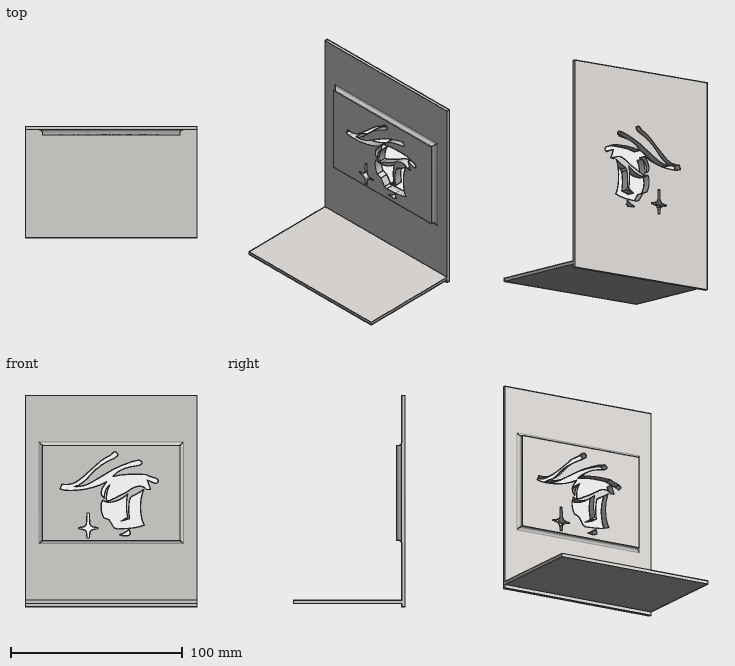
import cadquery as cq


width = 100.0
height = 123.3
depth = 65.0
sheet = 2.0
foot_bottom = sheet

panel_width = 80.0
panel_height = 55.2
panel_raise = 3.0
cove_radius = 2.0
panel_center_z = 66.5
cut_depth = sheet + panel_raise

star_x = -13.5
star_z = -20.6
star_up = 8.8
star_down = 5.7
star_side = 5.5
star_upright_tip_half = 0.6
star_half_width = 0.9
star_shoulder = 2.8
star_inner_corner = (1.7, 1.4)
star_side_root = (3.2, 0.6)
star_side_tip_half = 0.2

lash_start = (-29.7, 2.3)
lash_edges = [
    [(-28.7, 4.9)],
    [(-25.8, 4.8), (-22.0, 5.5), (-18.0, 8.0), (-10.0, 15.2), (-3.5, 20.3), (-0.7, 21.7)],
    [(1.1, 23.4)],
    [(3.0, 23.5), (3.8, 22.3), (2.7, 20.8), (1.2, 20.0)],
    [(-3.5, 17.6), (-9.7, 13.0), (-13.9, 8.5), (-18.7, 4.7)],
    [(-21.7, 3.6)],
    [(-13.9, 4.9), (-7.0, 8.8), (0.5, 13.3), (7.0, 16.3), (12.5, 18.2), (16.3, 19.1)],
    [(17.9, 17.5), (16.5, 16.2)],
    [(11.5, 15.3), (4.9, 13.0), (1.0, 9.5)],
    [(5.5, 10.4), (13.0, 10.9), (20.2, 10.6)],
    [(23.4, 9.2), (26.3, 8.4)],
    [(27.4, 7.0), (26.0, 5.4)],
    [(21.0, 7.5)],
    [(22.8, 2.1)],
    [(20.5, 2.1)],
    [(16.5, 4.0), (11.5, 2.2), (9.0, 0.5)],
    [(-0.7, -4.3)],
    [(-2.7, -4.7)],
    [(-2.3, 0.7), (-0.7, 4.7)],
    [(-3.0, 2.2), (-4.1, -3.0)],
    [(-4.6, -2.6)],
    [(-5.7, -1.0), (-5.5, 1.7), (-4.0, 4.7), (-2.7, 6.5)],
    [(-10.0, 3.5), (-18.5, 1.7), (-27.2, 1.6)],
]

iris_start = (-4.9, -4.2)
iris_edges = [
    [(-3.5, -5.3)],
    [(0.0, -5.4), (4.5, -4.2), (9.5, -0.9)],
    [(8.8, -6.3), (8.9, -10.2), (9.5, -14.2)],
    [(5.8, -16.5)],
    [(10.7, -15.0)],
    [(10.2, -9.2), (10.9, -3.7)],
    [(11.7, -2.2)],
    [(15.5, -0.2), (18.9, 1.8)],
    [(17.4, -3.2), (17.1, -11.2), (17.9, -15.5), (19.2, -18.7)],
    [(14.4, -20.1), (10.5, -20.6)],
    [(3.5, -21.0)],
    [(1.7, -20.3)],
    [(-1.2, -15.7)],
    [(-4.3, -14.4)],
    [(-5.7, -10.7), (-5.8, -6.3), (-4.9, -4.2)],
]

tear_start = (4.9, -24.4)
tear_edges = [
    [(8.3, -22.9), (10.4, -21.3)],
    [(11.2, -23.9)],
    [(9.9, -24.9)],
    [(6.8, -24.9)],
]


def box(size_x, size_y, size_z, y_min, z_min):
    """Block centred on X, placed by its lowest Y and Z."""
    block = cq.Workplane("XY").box(size_x, size_y, size_z, centered=(True, False, False))
    return block.translate((0, y_min, z_min))


def cove_profile(plane, span):
    """Panel cross-section: local x along the span, local y outward from the plate."""
    half = span / 2
    edge = half + cove_radius
    sag = cove_radius * (1 - 0.5 ** 0.5)
    return (
        cq.Workplane(plane)
        .moveTo(-edge, -sheet)
        .lineTo(edge, -sheet)
        .lineTo(edge, 0)
        .threePointArc((half + sag, sag), (half, cove_radius))
        .lineTo(half, panel_raise)
        .lineTo(-half, panel_raise)
        .lineTo(-half, cove_radius)
        .threePointArc((-half - sag, sag), (-edge, 0))
        .close()
    )


def raised_panel():
    """Two crossed coved bars; what they share has mitred corners."""
    center = (0, -sheet, panel_center_z)
    reach = panel_width / 2 + 2 * cove_radius
    level = cq.Plane(origin=center, xDir=(1, 0, 0), normal=(0, 0, -1))
    upright = cq.Plane(origin=center, xDir=(0, 0, 1), normal=(1, 0, 0))
    bar_along_z = cove_profile(level, panel_width).extrude(reach, both=True)
    bar_along_x = cove_profile(upright, panel_height).extrude(reach, both=True)
    return bar_along_z.intersect(bar_along_x)


def through_cut(start, edges):
    """Cutter through panel and plate, closed back to its start point."""
    outline = cq.Workplane("XZ", origin=(0, 0, panel_center_z)).moveTo(*start)
    for points in edges:
        if len(points) == 1:
            outline = outline.lineTo(*points[0])
        else:
            outline = outline.spline(points, includeCurrent=True)
    return outline.close().extrude(cut_depth)


def star_cut():
    """Cutter for the sparkle: its right half, mirrored."""
    corner_x, corner_z = star_inner_corner
    root_x, root_z = star_side_root
    outline = (
        cq.Workplane("XZ", origin=(star_x, 0, panel_center_z + star_z))
        .moveTo(0, star_up)
        .lineTo(star_upright_tip_half, star_up)
        .lineTo(star_half_width, star_shoulder)
        .threePointArc((corner_x, corner_z), (root_x, root_z))
        .lineTo(star_side, star_side_tip_half)
        .lineTo(star_side, -star_side_tip_half)
        .lineTo(root_x, -root_z)
        .threePointArc((corner_x, -corner_z), (star_half_width, -star_shoulder))
        .lineTo(star_upright_tip_half, -star_down)
        .lineTo(0, -star_down)
        .mirrorY()
    )
    return outline.extrude(cut_depth)


plate = box(width, sheet, height, -sheet, 0)
foot = box(width, depth, sheet, -depth, foot_bottom)
result = plate.union(foot).union(raised_panel())
for cutter in (
    through_cut(lash_start, lash_edges),
    through_cut(iris_start, iris_edges),
    through_cut(tear_start, tear_edges),
    star_cut(),
):
    result = result.cut(cutter)